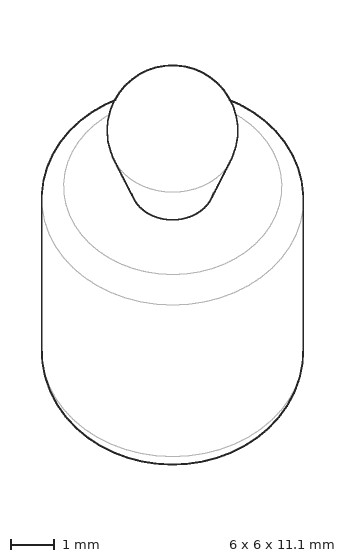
import cadquery as cq
import math

body_diameter = 6.0
body_height = 7.4
bottom_fillet = 1.0
top_fillet = 0.5

overall_height = 11.06
ball_radius = 1.5
neck_half_angle = math.radians(15.5)

ball_center_z = overall_height - ball_radius
tangent_radius = ball_radius * math.cos(neck_half_angle)
tangent_z = ball_center_z - ball_radius * math.sin(neck_half_angle)
neck_base_radius = tangent_radius - (tangent_z - body_height) * math.tan(neck_half_angle)


def make_body():
    """Upright cylinder with a large bottom round and a smaller top round."""
    cylinder = cq.Workplane("XY").circle(body_diameter / 2).extrude(body_height)
    return cylinder.faces("<Z").edges().fillet(bottom_fillet).faces(">Z").edges().fillet(top_fillet)


def make_pin():
    """Tapered neck and ball, revolved about the Z axis."""
    profile = (
        cq.Workplane("XZ")
        .moveTo(0, body_height)
        .lineTo(neck_base_radius, body_height)
        .lineTo(tangent_radius, tangent_z)
        .threePointArc((ball_radius, ball_center_z), (0, overall_height))
        .close()
    )
    return profile.revolve(360, (0, 0, 0), (0, 1, 0))


result = make_body().union(make_pin())